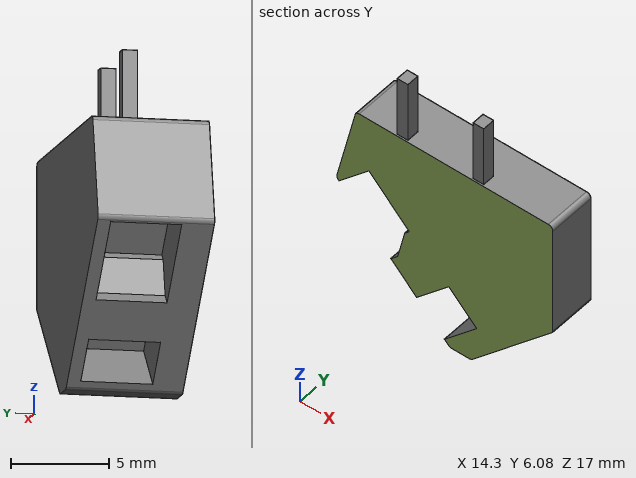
import cadquery as cq
import math

PIN_PITCH = 5.0
PIN_WIDTH = 0.7
PIN_THICKNESS = 0.8
PIN_LENGTH = 4.0

BODY_HEIGHT = 13.0
BODY_FRONT_Y = -3.54
BODY_BACK_Y = 2.54
RIGHT_X = 7.5
TOP_LEFT_X = -5.5
LEFT_CORNER_X = -6.8
TIP_RIGHT_X = 2.1
EDGE_RADIUS = 0.3

LEFT_CORNER_Z = -5.5
RIGHT_CORNER_Z = -BODY_HEIGHT + (RIGHT_X - TIP_RIGHT_X)
TIP_LEFT_X = LEFT_CORNER_X + BODY_HEIGHT + LEFT_CORNER_Z

OPENING_WIDTH = 3.7
LOWER_OPENING_FRONT_EXTRA = 0.05
UPPER_OPENING_TOP_Z = -5.69
UPPER_OPENING_BOTTOM_Z = -9.09
LOWER_OPENING_TOP_Z = -10.81
LOWER_OPENING_BOTTOM_Z = -12.63
LOWER_OPENING_DEPTH = 3.0

OUTER_LEDGE_RISE = 0.46
STEP_HEIGHT = 1.95
INNER_LEDGE_RISE = 0.3
UPPER_LEFT_LEAN = (TOP_LEFT_X - LEFT_CORNER_X) / -LEFT_CORNER_Z


def sloped_face_x(z):
    """X of the lower left face at height z."""
    return LEFT_CORNER_X + LEFT_CORNER_Z - z


def extrude_profile(points, y_min, y_max):
    """Prism of an XZ outline between two Y positions."""
    return cq.Workplane("XZ", origin=(0, y_max, 0)).polyline(points).close().extrude(y_max - y_min)


def make_body():
    outline = [
        (TOP_LEFT_X, 0),
        (RIGHT_X, 0),
        (RIGHT_X, RIGHT_CORNER_Z),
        (TIP_RIGHT_X, -BODY_HEIGHT),
        (TIP_LEFT_X, -BODY_HEIGHT),
        (LEFT_CORNER_X, LEFT_CORNER_Z),
    ]
    return extrude_profile(outline, BODY_FRONT_Y, BODY_BACK_Y).edges("|Y").fillet(EDGE_RADIUS)


def make_pin(x):
    return cq.Workplane("XY").center(x, 0).rect(PIN_WIDTH, PIN_THICKNESS).extrude(PIN_LENGTH)


def make_opening(points, front_extra=0.0):
    half_width = OPENING_WIDTH / 2
    return extrude_profile(points, -half_width - front_extra, half_width)


def make_upper_opening():
    """Stepped pocket, deepest at its upper end."""
    top_x = sloped_face_x(UPPER_OPENING_TOP_Z)
    bottom_x = sloped_face_x(UPPER_OPENING_BOTTOM_Z)
    step_bottom_x = bottom_x + OUTER_LEDGE_RISE
    step_bottom_z = UPPER_OPENING_BOTTOM_Z + OUTER_LEDGE_RISE
    step_top_x = step_bottom_x + STEP_HEIGHT * UPPER_LEFT_LEAN
    step_top_z = step_bottom_z + STEP_HEIGHT
    floor_x = step_top_x + INNER_LEDGE_RISE
    floor_z = step_top_z + INNER_LEDGE_RISE
    floor_run = ((floor_x - floor_z) - (top_x - UPPER_OPENING_TOP_Z)) / 2
    return make_opening([
        (top_x, UPPER_OPENING_TOP_Z),
        (bottom_x, UPPER_OPENING_BOTTOM_Z),
        (step_bottom_x, step_bottom_z),
        (step_top_x, step_top_z),
        (floor_x, floor_z),
        (floor_x - floor_run, floor_z + floor_run),
    ])


def make_lower_opening():
    """Plain pocket cut square to the sloped face."""
    shift = LOWER_OPENING_DEPTH / math.sqrt(2)
    top_x = sloped_face_x(LOWER_OPENING_TOP_Z)
    bottom_x = sloped_face_x(LOWER_OPENING_BOTTOM_Z)
    return make_opening([
        (top_x, LOWER_OPENING_TOP_Z),
        (bottom_x, LOWER_OPENING_BOTTOM_Z),
        (bottom_x + shift, LOWER_OPENING_BOTTOM_Z + shift),
        (top_x + shift, LOWER_OPENING_TOP_Z + shift),
    ], LOWER_OPENING_FRONT_EXTRA)


result = make_body().cut(make_upper_opening()).cut(make_lower_opening())
for pin_x in (-PIN_PITCH / 2, PIN_PITCH / 2):
    result = result.union(make_pin(pin_x))